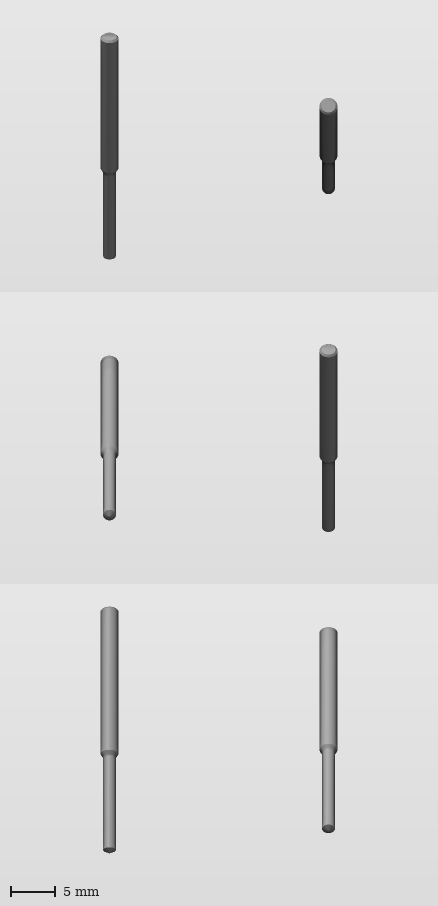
import cadquery as cq
import math

total_length = 30.0
shank_radius = 2.0 / 2
drill_radius = 1.45 / 2

point_angle = 120.0
point_height = drill_radius / math.tan(math.radians(point_angle / 2))

top_chamfer = 0.2
shank_bottom = 12.27
cone_half_angle = math.radians(30.0)
fillet_radius = 0.5
fillet_top_radius = drill_radius + fillet_radius * (1 - math.cos(cone_half_angle))
cone_height = (shank_radius - fillet_top_radius) / math.tan(cone_half_angle)
fillet_top = shank_bottom - cone_height
fillet_bottom = fillet_top - fillet_radius * math.sin(cone_half_angle)


def fillet_point(angle):
    """Point on the fillet at an angle above its tangency with the drill."""
    radius = drill_radius + fillet_radius * (1 - math.cos(angle))
    height = fillet_bottom + fillet_radius * math.sin(angle)
    return radius, height


def revolve_about_z(profile):
    """Turn a closed radius-height profile about the Z axis."""
    return profile.close().revolve(360, (0, 0, 0), (0, 1, 0))


def make_shank():
    """Shank that narrows to the drill diameter at its lower end."""
    profile = (
        cq.Workplane("XZ")
        .moveTo(0, fillet_bottom)
        .lineTo(drill_radius, fillet_bottom)
        .threePointArc(fillet_point(cone_half_angle / 2), fillet_point(cone_half_angle))
        .lineTo(shank_radius, shank_bottom)
        .lineTo(shank_radius, total_length - top_chamfer)
        .lineTo(shank_radius - top_chamfer, total_length)
        .lineTo(0, total_length)
    )
    return revolve_about_z(profile)


def make_drill():
    """Cylindrical drill with a conical point."""
    profile = (
        cq.Workplane("XZ")
        .lineTo(drill_radius, point_height)
        .lineTo(drill_radius, fillet_bottom)
        .lineTo(0, fillet_bottom)
    )
    return revolve_about_z(profile)


shank = make_shank()
drill = make_drill()

result = cq.Compound.makeCompound([shank.val(), drill.val()])